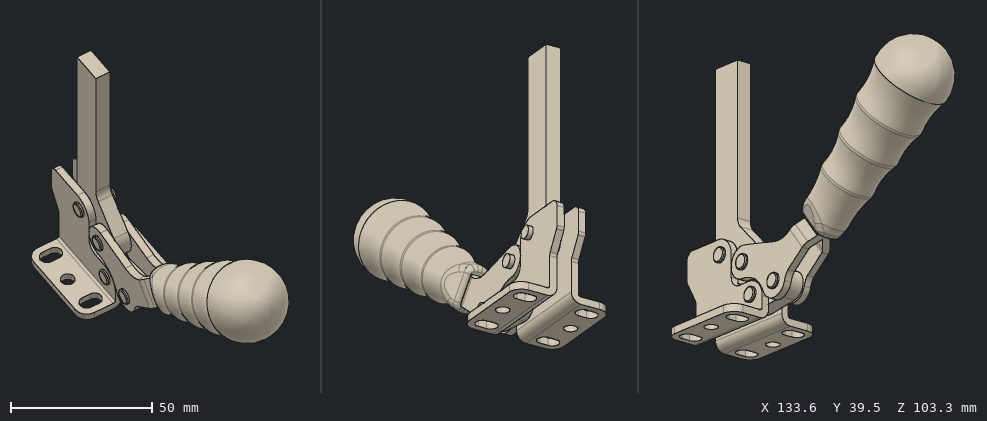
import cadquery as cq
import math

overall_length = 133.6
overall_height = 103.3

inner_gap = 6.0
sheet = inner_gap / 2
inner_face = inner_gap / 2
outer_face = inner_face + sheet

arm_pivot = (18.6, 30.5)
handle_pivot = (31.0, 24.3)
link_pivot = (35.5, 10.7)
lever_pivot = (48.4, 12.3)

foot_left = 5.0
foot_length = 37.0
foot_right = foot_left + foot_length
foot_middle = foot_left + foot_length / 2
base_width = 39.5
foot_corner_radius = 5.0
bend_inner_radius = 1.0
bend_top = sheet + bend_inner_radius
wall_top = 36.6
wall_corner_chamfer = 1.9
wall_corner_round = 2.7
shoulder_radius = 7.5
notch_left = 24.7
notch_floor = 16.0
notch_radius = 4.4
toe_radius = 7.5
lead_in_bottom = 16.6
lead_in_top = 25.1

slot_width = 5.3
slot_length = 8.7
slot_offset_x = 13.0
slot_y = 12.8
hole_diameter = 5.1
hole_y = 14.2

bar_width = 12.4
bar_right = 24.6
bar_left = bar_right - bar_width
arm_heel_radius = 5.6
arm_heel = (bar_left + arm_heel_radius, 27.3)
arm_nose_radius = 7.5
arm_elbow_radius = 5.3

short_link_radius = 5.5
plate_eye_radius = 6.3
plate_top_angle = 80
lower_eye_exit = -15
lower_eye_entry = 200
saddle_start = (48.5, 27.1)
saddle_middle = (52.9, 27.1)
saddle_setback = 0.8
crotch_start = (56.3, 14.2)
crotch_middle = (55.2, 12.7)
toe_clearance = (37.4, 16.2)

rivet_head_radius = 3.0
rivet_head_height = 1.1
rivet_head_chamfer = 0.4
rivet_tail_radius = 2.5
rivet_tail_height = 2.0

ball_radius = 15.1
ball_centre = (overall_length - ball_radius, 71.1)
handle_angle = 38.7
grip_end = 67.1
grip_end_radius = 9.2
grip_end_round = 2.4
crest_round = 2.0
grip_start = (1.3, 15.0)
grip_waves = [
    ((9.8, 13.2), (17.0, 13.6)),
    ((25.1, 11.9), (31.5, 12.3)),
    ((41.2, 10.3), (46.4, 10.8)),
    ((56.1, 9.1), (62.1, grip_end_radius)),
]
flat_start = 59.3
flat_end_half_width = 4.5
flat_edge_round = 3.3

shank_half_width = 5.6
shank_bend_start = 74.0
shank_bend_angle = 33.0
shank_bend_inner_radius = 1.9
shank_depth_in_grip = 6.7

axis_cos = math.cos(math.radians(handle_angle))
axis_sin = math.sin(math.radians(handle_angle))
ball_origin = (ball_centre[0], 0, ball_centre[1])
down_axis = (-axis_cos, 0, -axis_sin)
grip_plane = cq.Plane(ball_origin, down_axis, (0, -1, 0))
shank_plane = cq.Plane(ball_origin, down_axis, (axis_sin, 0, -axis_cos))


def polar(centre, radius, degrees):
    """Point on a circle at an angle measured from local x."""
    a = math.radians(degrees)
    return (centre[0] + radius * math.cos(a), centre[1] + radius * math.sin(a))


def side_plane(y):
    """XZ sketch plane at the given Y, extruding towards -Y."""
    return cq.Workplane("XZ", origin=(0, y, 0))


def mirrored(body):
    """The body together with its mirror image across the XZ plane."""
    return body.union(body.mirror("XZ"))


def rounded_strap(centre_a, radius_a, centre_b, radius_b):
    """Strap filling the inner gap: two round ends joined by tangent lines."""
    dx = centre_b[0] - centre_a[0]
    dz = centre_b[1] - centre_a[1]
    heading = math.degrees(math.atan2(dz, dx))
    spread = math.degrees(math.acos((radius_a - radius_b) / math.hypot(dx, dz)))
    return (
        side_plane(inner_face)
        .moveTo(*polar(centre_a, radius_a, heading + spread))
        .threePointArc(polar(centre_a, radius_a, heading + 180), polar(centre_a, radius_a, heading - spread))
        .lineTo(*polar(centre_b, radius_b, heading - spread))
        .threePointArc(polar(centre_b, radius_b, heading), polar(centre_b, radius_b, heading + spread))
        .close()
        .extrude(inner_gap)
    )


def handle_point(distance, across):
    """XZ position from distance down the handle axis and offset above it."""
    return (
        ball_centre[0] - distance * axis_cos - across * axis_sin,
        ball_centre[1] - distance * axis_sin + across * axis_cos,
    )


def base_wall():
    shoulder_centre = (notch_left - shoulder_radius, wall_top - shoulder_radius)
    toe_centre = (foot_right - toe_radius, notch_floor - toe_radius)
    notch_centre = (notch_left + notch_radius, notch_floor + notch_radius)
    wall = (
        side_plane(outer_face)
        .moveTo(foot_left, bend_top)
        .lineTo(foot_left, lead_in_bottom)
        .lineTo(0, lead_in_top)
        .lineTo(0, wall_top - wall_corner_chamfer)
        .lineTo(wall_corner_chamfer, wall_top)
        .lineTo(*polar(shoulder_centre, shoulder_radius, 90))
        .radiusArc(polar(shoulder_centre, shoulder_radius, 0), shoulder_radius)
        .lineTo(*polar(notch_centre, notch_radius, 180))
        .radiusArc(polar(notch_centre, notch_radius, 270), -notch_radius)
        .lineTo(*polar(toe_centre, toe_radius, 90))
        .radiusArc(polar(toe_centre, toe_radius, 0), toe_radius)
        .lineTo(foot_right, bend_top)
        .close()
        .extrude(sheet)
    )
    left_corners = [
        (foot_left, lead_in_bottom),
        (0, lead_in_top),
        (0, wall_top - wall_corner_chamfer),
        (wall_corner_chamfer, wall_top),
    ]
    for x, z in left_corners:
        corner = cq.NearestToPointSelector((x, inner_face + sheet / 2, z))
        wall = wall.edges("|Y").edges(corner).fillet(wall_corner_round)
    return wall


def base_foot():
    bend_outer_radius = bend_inner_radius + sheet
    bend_centre_y = outer_face + bend_inner_radius
    foot_edge = base_width / 2
    foot = (
        cq.Workplane("YZ", origin=(foot_left, 0, 0))
        .moveTo(inner_face, bend_top)
        .radiusArc((bend_centre_y, 0), -bend_outer_radius)
        .lineTo(foot_edge, 0)
        .lineTo(foot_edge, sheet)
        .lineTo(bend_centre_y, sheet)
        .radiusArc((outer_face, bend_top), bend_inner_radius)
        .close()
        .extrude(foot_length)
        .edges("|Z and >Y")
        .fillet(foot_corner_radius)
    )
    slots = (
        cq.Workplane("XY")
        .pushPoints([(foot_middle - slot_offset_x, slot_y), (foot_middle + slot_offset_x, slot_y)])
        .slot2D(slot_length, slot_width, 90)
        .extrude(sheet)
    )
    hole = cq.Workplane("XY").center(foot_middle, hole_y).circle(hole_diameter / 2).extrude(sheet)
    return foot.cut(slots).cut(hole)


def clamping_arm():
    nose_tangent = polar(handle_pivot, arm_nose_radius, 45)
    elbow = (bar_right, nose_tangent[1] + nose_tangent[0] - bar_right)
    elbow_setback = arm_elbow_radius * math.tan(math.radians(45 / 2))
    bar = (
        side_plane(inner_face)
        .moveTo(bar_left, arm_heel[1])
        .lineTo(bar_left, overall_height)
        .lineTo(bar_right, overall_height)
        .lineTo(bar_right, elbow[1] + elbow_setback)
        .radiusArc(polar(elbow, elbow_setback, -45), -arm_elbow_radius)
        .lineTo(*nose_tangent)
        .lineTo(*handle_pivot)
        .lineTo(*arm_heel)
        .close()
        .extrude(inner_gap)
    )
    return bar.union(rounded_strap(arm_heel, arm_heel_radius, handle_pivot, arm_nose_radius))


def handle_plate():
    eye_top = polar(handle_pivot, plate_eye_radius, plate_top_angle)
    eye_left = polar(handle_pivot, plate_eye_radius, plate_top_angle + 90)
    eye_bottom = polar(handle_pivot, plate_eye_radius, plate_top_angle + 180)
    lower_eye_right = polar(lever_pivot, plate_eye_radius, lower_eye_exit)
    lower_eye_bottom = polar(lever_pivot, plate_eye_radius, -90)
    lower_eye_left = polar(lever_pivot, plate_eye_radius, lower_eye_entry)
    return (
        side_plane(outer_face)
        .moveTo(*eye_bottom)
        .threePointArc(eye_left, eye_top)
        .lineTo(*saddle_start)
        .threePointArc(saddle_middle, handle_point(shank_bend_start + saddle_setback, shank_half_width))
        .lineTo(*handle_point(shank_bend_start, shank_half_width))
        .lineTo(*handle_point(shank_bend_start, -shank_half_width))
        .lineTo(*crotch_start)
        .threePointArc(crotch_middle, lower_eye_right)
        .threePointArc(lower_eye_bottom, lower_eye_left)
        .threePointArc(toe_clearance, eye_bottom)
        .close()
        .extrude(sheet)
    )


def shank_tab():
    """Bent end of a handle plate, closing onto the handle midplane."""
    outer_radius = shank_bend_inner_radius + sheet
    bend_centre = (shank_bend_start, outer_face - outer_radius)
    bend_end = 90 + shank_bend_angle
    slope = math.tan(math.radians(shank_bend_angle))
    outer_end = polar(bend_centre, outer_radius, bend_end)
    inner_end = polar(bend_centre, shank_bend_inner_radius, bend_end)
    tab_end = grip_end - shank_depth_in_grip
    return (
        cq.Workplane(shank_plane)
        .workplane(offset=-shank_half_width)
        .moveTo(shank_bend_start, outer_face)
        .radiusArc(outer_end, -outer_radius)
        .lineTo(outer_end[0] - (outer_end[1] - sheet) / slope, sheet)
        .lineTo(tab_end, sheet)
        .lineTo(tab_end, 0)
        .lineTo(inner_end[0] - inner_end[1] / slope, 0)
        .lineTo(*inner_end)
        .radiusArc((shank_bend_start, inner_face), shank_bend_inner_radius)
        .close()
        .extrude(2 * shank_half_width)
    )


def grip():
    profile = (
        cq.Workplane(grip_plane)
        .moveTo(-ball_radius, 0)
        .threePointArc(polar((0, 0), ball_radius, 135), grip_start)
    )
    for waist, crest in grip_waves:
        profile = profile.threePointArc(waist, crest)
    body = (
        profile
        .lineTo(grip_end, grip_end_radius)
        .lineTo(grip_end, 0)
        .close()
        .revolve(360, (0, 0, 0), (1, 0, 0))
    )
    for _, (distance, _) in grip_waves[:-1]:
        x, z = handle_point(distance, 0)
        body = body.edges(cq.NearestToPointSelector((x, 0, z))).fillet(crest_round)
    flat = (
        cq.Workplane(shank_plane)
        .workplane(offset=-grip_end_radius)
        .moveTo(flat_start, grip_end_radius)
        .lineTo(grip_end, flat_end_half_width)
        .lineTo(grip_end, grip_end_radius)
        .close()
        .extrude(2 * grip_end_radius)
    )
    body = body.cut(mirrored(flat))
    for side in (1, -1):
        x, z = handle_point((flat_start + grip_end) / 2, 0)
        flat_y = side * (grip_end_radius + flat_end_half_width) / 2
        flat_face = body.faces(cq.NearestToPointSelector((x, flat_y, z)))
        body = flat_face.edges("not(#Y)").fillet(flat_edge_round)
    x, z = handle_point(grip_end, 0)
    end_face = body.faces(cq.NearestToPointSelector((x, 0, z)))
    return end_face.edges().fillet(grip_end_round)


def rivet(centre):
    head = (
        side_plane(-outer_face)
        .center(*centre)
        .circle(rivet_head_radius)
        .extrude(rivet_head_height)
        .faces("<Y")
        .chamfer(rivet_head_chamfer)
    )
    tail_end = outer_face + rivet_tail_height
    shaft = side_plane(tail_end).center(*centre).circle(rivet_tail_radius).extrude(tail_end + outer_face)
    return head.union(shaft)


side_parts = mirrored(base_wall().union(base_foot()))
handle = mirrored(handle_plate().union(shank_tab())).union(grip())
short_link = rounded_strap(link_pivot, short_link_radius, lever_pivot, short_link_radius)

result = side_parts.union(clamping_arm()).union(short_link).union(handle)
for pivot in (arm_pivot, handle_pivot, link_pivot, lever_pivot):
    result = result.union(rivet(pivot))